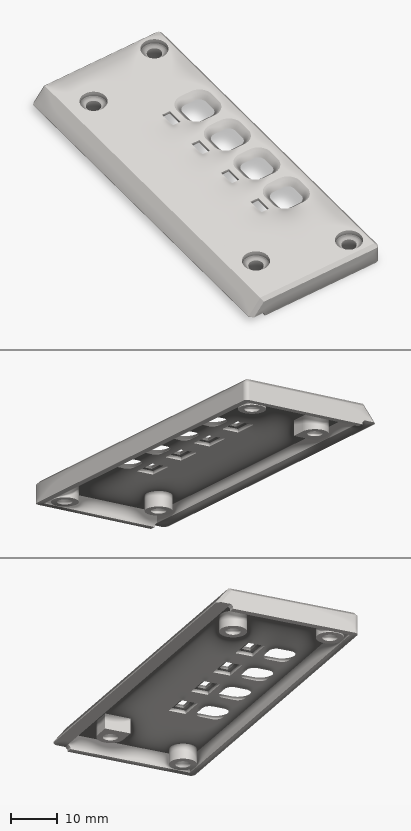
import cadquery as cq
import math

LENGTH = 82.0
DEPTH = 33.5
HEIGHT = 5.0

SLOPE_RUN = 3.0
LIP_BOTTOM = 1.0
LIP_EDGE = 0.2
WALL_FRONT = 3.7
WALL_FRONT_BEVEL = 0.5

EDGE_BEVEL = 0.8
BACK_CORNER_RADIUS = 1.0

WALL = 1.5
TOP_THICKNESS = 1.5
CEILING = HEIGHT - TOP_THICKNESS
CAVITY_FRONT = WALL_FRONT - WALL_FRONT_BEVEL

HOLE_DIAMETER = 3.3
COUNTERBORE_DIAMETER = 6.0
COUNTERBORE_DEPTH = 1.4
COUNTERBORE_BEVEL = 0.2
BOSS_DIAMETER = 6.0
BACK_HOLE_X = 36.3
BACK_HOLE_Y = 28.8
FRONT_HOLE_X = 30.3
FRONT_HOLE_Y = 8.8
HOLE_POSITIONS = [
    (side * x, y)
    for side in (-1, 1)
    for x, y in ((BACK_HOLE_X, BACK_HOLE_Y), (FRONT_HOLE_X, FRONT_HOLE_Y))
]

BOSS_BLOCK_LENGTH = 3.6

WINDOW_COUNT = 4
WINDOW_PITCH = 11.0
WINDOW_SIZE = 6.0
WINDOW_RADIUS = 1.7
WINDOW_FLARE = 1.5
WINDOW_FLARE_DEPTH = 1.5
WINDOW_Y = 26.3
SLOT_LENGTH = 4.0
SLOT_WIDTH = 2.0
SLOT_Y = 19.4
SLOT_SKIN = 0.7
SLOT_POCKET_MARGIN = 1.0
WINDOW_XS = [(i - (WINDOW_COUNT - 1) / 2) * WINDOW_PITCH for i in range(WINDOW_COUNT)]

TOLERANCE = 0.01


def is_bevelled(edge):
    """True for the rim of the top, except along the slope, and for both ends of the slope and lip."""
    middle = edge.Center()
    on_end = abs(middle.x) > LENGTH / 2 - TOLERANCE
    beside_slope = on_end and middle.y < SLOPE_RUN
    on_top_rim = middle.z > HEIGHT - TOLERANCE and middle.y > SLOPE_RUN + TOLERANCE
    return beside_slope or on_top_rim


def make_body():
    """Solid outer shape: sloping front, rounded back corners and a bevelled rim."""
    profile = [
        (0, 0),
        (DEPTH, 0),
        (DEPTH, HEIGHT),
        (SLOPE_RUN, HEIGHT),
        (0, LIP_BOTTOM + LIP_EDGE),
    ]
    body = cq.Workplane("YZ").polyline(profile).close().extrude(LENGTH / 2, both=True)
    body = body.edges("|Z and >Y").fillet(BACK_CORNER_RADIUS)
    body = body.edges().filter(is_bevelled).chamfer(EDGE_BEVEL)
    return body.cut(make_lip_relief())


def make_lip_relief():
    """Space under the lip, with a bevel where the lip meets the front end of the walls."""
    profile = [
        (0, 0),
        (WALL_FRONT, 0),
        (WALL_FRONT, LIP_BOTTOM - WALL_FRONT_BEVEL),
        (WALL_FRONT - WALL_FRONT_BEVEL, LIP_BOTTOM),
        (0, LIP_BOTTOM),
    ]
    return cq.Workplane("YZ").polyline(profile).close().extrude(LENGTH / 2, both=True)


def make_cavity():
    """Hollow under the top, open below, meeting the relief under the lip."""
    cavity_depth = DEPTH - WALL - CAVITY_FRONT
    cavity = cq.Workplane("XY").box(LENGTH - 2 * WALL, cavity_depth, CEILING, centered=(True, False, False))
    return cavity.translate((0, CAVITY_FRONT, 0))


def make_bosses():
    """Round bosses around the screw holes, one of them widened by a block."""
    bosses = cq.Workplane("XY").pushPoints(HOLE_POSITIONS).circle(BOSS_DIAMETER / 2).extrude(CEILING)
    block = cq.Workplane("XY").box(BOSS_BLOCK_LENGTH, BOSS_DIAMETER, CEILING, centered=(False, True, False))
    return bosses.union(block.translate((-FRONT_HOLE_X, FRONT_HOLE_Y, 0)))


def make_window():
    """Rounded square opening whose rim widens towards the top."""
    taper = math.degrees(math.atan2(WINDOW_FLARE, WINDOW_FLARE_DEPTH))
    outline = cq.Sketch().rect(WINDOW_SIZE, WINDOW_SIZE).vertices().fillet(WINDOW_RADIUS)
    opening = cq.Workplane("XY").placeSketch(outline).extrude(HEIGHT)
    flare_base = cq.Workplane("XY").workplane(offset=HEIGHT - WINDOW_FLARE_DEPTH)
    flare = flare_base.placeSketch(outline).extrude(WINDOW_FLARE_DEPTH, taper=-taper)
    return opening.union(flare)


def make_slot():
    """Small rectangular opening through a thin skin, above a larger pocket in the underside of the top."""
    slot = cq.Workplane("XY").box(SLOT_LENGTH, SLOT_WIDTH, HEIGHT, centered=(True, True, False))
    pocket_length = SLOT_LENGTH + 2 * SLOT_POCKET_MARGIN
    pocket_width = SLOT_WIDTH + 2 * SLOT_POCKET_MARGIN
    pocket_top = HEIGHT - SLOT_SKIN
    pocket = cq.Workplane("XY").box(pocket_length, pocket_width, pocket_top, centered=(True, True, False))
    return slot.union(pocket)


def make_screw_hole():
    """Through hole with a counterbore at the top, bevelled around its floor."""
    hole = cq.Workplane("XY").circle(HOLE_DIAMETER / 2).extrude(HEIGHT)
    counterbore = cq.Workplane("XY").workplane(offset=HEIGHT - COUNTERBORE_DEPTH)
    counterbore = counterbore.circle(COUNTERBORE_DIAMETER / 2).extrude(COUNTERBORE_DEPTH)
    return hole.union(counterbore.faces("<Z").chamfer(COUNTERBORE_BEVEL))


result = make_body().cut(make_cavity()).union(make_bosses())
for window_x in WINDOW_XS:
    result = result.cut(make_window().translate((window_x, WINDOW_Y, 0)))
    result = result.cut(make_slot().translate((window_x, SLOT_Y, 0)))
for hole_x, hole_y in HOLE_POSITIONS:
    result = result.cut(make_screw_hole().translate((hole_x, hole_y, 0)))